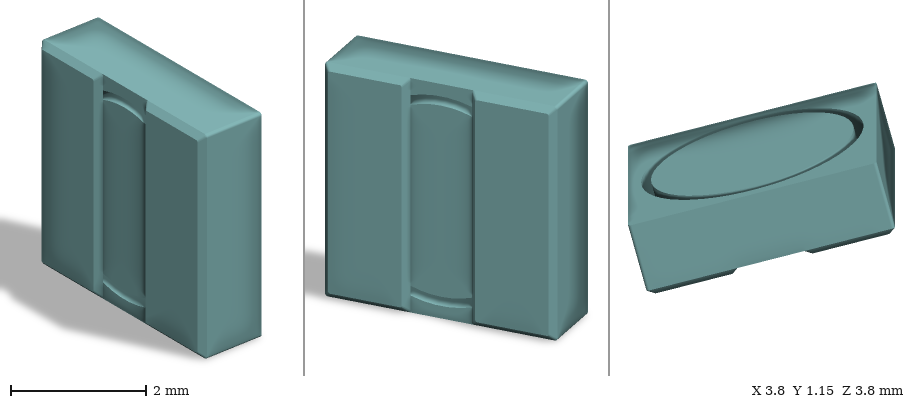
import cadquery as cq

SIDE = 3.8
DEPTH = 1.15
PAD_THICKNESS = 0.1
PAD_CHAMFER = 0.1
CHANNEL_WIDTH = 1.0
CORNER_RADIUS = 0.05
BORE_DIAMETER = 3.4
CORE_DIAMETER = 3.1

BODY_DEPTH = DEPTH - PAD_THICKNESS
PAD_WIDTH = (SIDE - CHANNEL_WIDTH) / 2
PAD_OFFSET = (CHANNEL_WIDTH + PAD_WIDTH) / 2


def make_block():
    """Square block with its pad-side face on Y = 0."""
    return cq.Workplane("XY").box(SIDE, BODY_DEPTH, SIDE, centered=(True, False, True))


def make_pad(center_x):
    """Raised pad on the -Y face of the block, sloped on all four sides."""
    return (
        cq.Workplane("XZ")
        .center(center_x, 0)
        .rect(PAD_WIDTH, SIDE)
        .workplane(offset=PAD_THICKNESS)
        .rect(PAD_WIDTH - 2 * PAD_CHAMFER, SIDE - 2 * PAD_CHAMFER)
        .loft(ruled=True)
    )


def round_corners(body):
    """Round the block corners along Y and the sloped corners of the pads."""
    block_corners = body.edges("|Y").vals()
    pad_corners = body.edges("not(|X or |Y or |Z)").vals()
    return body.newObject(block_corners + pad_corners).fillet(CORNER_RADIUS)


def make_gap():
    """Ring-shaped gap around the core, through the block and closed off by the pads."""
    return (
        cq.Workplane("XZ")
        .circle(BORE_DIAMETER / 2)
        .circle(CORE_DIAMETER / 2)
        .extrude(-BODY_DEPTH)
    )


body = make_block()
for side in (-1, 1):
    body = body.union(make_pad(side * PAD_OFFSET))

result = round_corners(body).cut(make_gap())